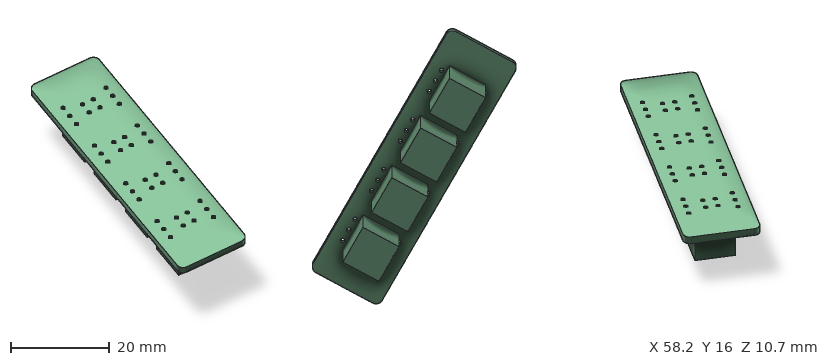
import cadquery as cq

board_length = 58.2
board_width = 16.0
board_thickness = 1.65
corner_radius = 1.45

total_height = 10.7
block_side = 8.4
block_height = total_height - board_thickness
block_count = 4
block_pitch = 12.0
first_block_x = -block_pitch * (block_count - 1) / 2

hole_diameter = 0.9
hole_pitch = 2.55
outer_row_y = 2 * hole_pitch

block_centres_x = [first_block_x + i * block_pitch for i in range(block_count)]


def hole_pattern(centre_x):
    """Centres of a 2 x 2 group over the block and a row of three on each side of it."""
    half_pitch = hole_pitch / 2
    inner = [(centre_x + x, y) for x in (-half_pitch, half_pitch) for y in (-half_pitch, half_pitch)]
    outer = [(centre_x + x, y) for x in (-hole_pitch, 0, hole_pitch) for y in (-outer_row_y, outer_row_y)]
    return inner + outer


def make_board():
    """Flat plate with rounded corners and through holes."""
    plate = (
        cq.Workplane("XY")
        .workplane(offset=-board_thickness)
        .rect(board_length, board_width)
        .extrude(board_thickness)
        .edges("|Z")
        .fillet(corner_radius)
    )
    hole_centres = [point for x in block_centres_x for point in hole_pattern(x)]
    return plate.faces(">Z").workplane(origin=(0, 0, 0)).pushPoints(hole_centres).hole(hole_diameter)


def make_block(centre_x):
    """Square block whose top face touches the underside of the board."""
    return (
        cq.Workplane("XY")
        .workplane(offset=-board_thickness)
        .center(centre_x, 0)
        .rect(block_side, block_side)
        .extrude(-block_height)
    )


board = make_board()
blocks = [make_block(x) for x in block_centres_x]

result = cq.Compound.makeCompound([board.val(), *[block.val() for block in blocks]])